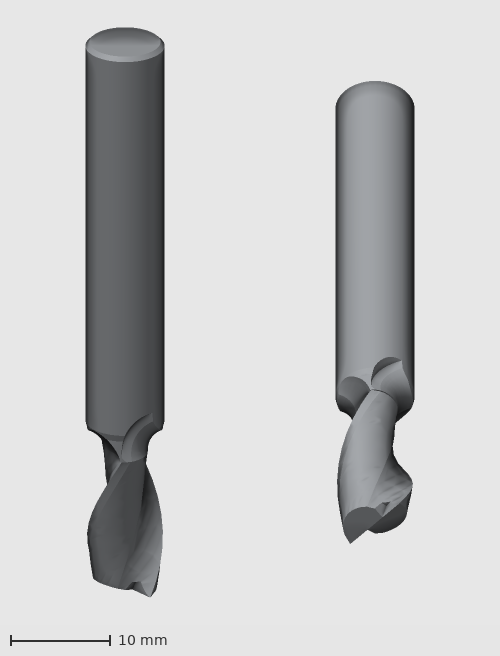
import cadquery as cq
import math

total_length = 60.0
shank_radius = 3.99
top_chamfer = 0.4

cutter_radius = 3.81
head_length = 15.35
helix_angle = 30.0
helix_lead = 2 * math.pi * cutter_radius / math.tan(math.radians(helix_angle))
head_twist = 360 * head_length / helix_lead

land_end = (3.5, 0.9)
back_middle = (2.15, 2.1)
flute_start = (-0.7, 1.85)
flute_middle = (-1.9, 0.7)

end_relief_angle = 17.0
gash_inner_x = 1.15
gash_floor_x = 1.75
gash_inner_height = 1.2
gash_outer_height = 1.75
gash_width = 1.8

neck_top = 17.65
neck_taper = 0.7
runout_axis_distance = 4.55
rim_overlap = 0.2
runout_tilt = 14.0
clearance = 1.2


def flute_side(start):
    """Draw land, back and flute as far as the opposite cutting edge."""
    return (
        start.lineTo(*land_end)
        .threePointArc(back_middle, flute_start)
        .threePointArc(flute_middle, (-cutter_radius, 0))
    )


def opposite(point):
    """Turn a cross-section point half a turn about the tool axis."""
    return (-point[0], -point[1])


def half_turn(body):
    return body.rotate((0, 0, 0), (0, 0, 1), 180)


def make_blank():
    """Twist the full two-flute cross-section along the head."""
    section = flute_side(cq.Workplane("XY").moveTo(cutter_radius, 0))
    section = (
        section.lineTo(*opposite(land_end))
        .threePointArc(opposite(back_middle), opposite(flute_start))
        .threePointArc(opposite(flute_middle), (cutter_radius, 0))
        .close()
    )
    return section.twistExtrude(head_length, head_twist)


def make_end_relief():
    """Wedge under one end face, rising from the cutting edges along X."""
    reach = cutter_radius + clearance
    rise = reach * math.tan(math.radians(end_relief_angle))
    return (
        cq.Workplane("YZ")
        .polyline([(0, 0), (reach, rise), (reach, -clearance), (0, -clearance)])
        .close()
        .extrude(reach, both=True)
    )


def make_gash():
    """Notch in front of the end cutting edge on +X."""
    outer_x = cutter_radius + clearance
    return (
        cq.Workplane("XZ")
        .polyline([
            (gash_inner_x, 0),
            (gash_floor_x, gash_inner_height),
            (outer_x, gash_outer_height),
            (outer_x, -clearance),
            (gash_inner_x, -clearance),
        ])
        .close()
        .extrude(gash_width)
    )


def make_cutting_head():
    head = make_blank()
    for cutter in (make_end_relief(), make_gash()):
        head = head.cut(cutter).cut(half_turn(cutter))
    return head


def make_flute_runout():
    """Sweep one side's flute outline outward on a circle, on an axis tilted toward the helix."""
    reach = cutter_radius + clearance
    outline = flute_side(cq.Workplane("XY").moveTo(reach, -rim_overlap).lineTo(cutter_radius, 0))
    outline = (
        outline.lineTo(-reach, -rim_overlap)
        .lineTo(-reach, runout_axis_distance)
        .lineTo(reach, runout_axis_distance)
        .close()
    )
    wheel = outline.revolve(360, (0, runout_axis_distance, 0), (1, runout_axis_distance, 0))
    wheel = wheel.rotate((0, 0, 0), (0, 1, 0), -runout_tilt)
    return wheel.rotate((0, 0, 0), (0, 0, 1), head_twist).translate((0, 0, head_length))


def make_shank():
    shank = (
        cq.Workplane("YZ")
        .moveTo(0, head_length)
        .lineTo(cutter_radius, head_length)
        .lineTo(cutter_radius, neck_top)
        .lineTo(shank_radius, neck_top + neck_taper)
        .lineTo(shank_radius, total_length - top_chamfer)
        .lineTo(shank_radius - top_chamfer, total_length)
        .lineTo(0, total_length)
        .close()
        .revolve(360, (0, 0, 0), (0, 1, 0))
    )
    runout = make_flute_runout()
    return shank.cut(runout).cut(half_turn(runout))


cutting_head = make_cutting_head()
shank = make_shank()

result = cq.Compound.makeCompound([cutting_head.val(), shank.val()])